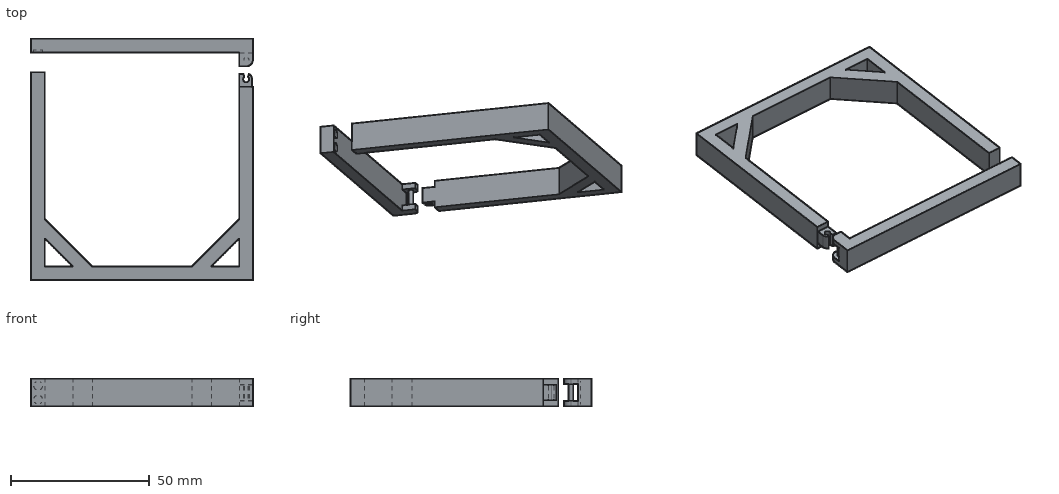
import cadquery as cq
import math

width = 80.0
depth = 87.0
height = 10.0
bar = height / 2

latch_leg_length = 75.0
hinge_leg_length = 69.6
window_leg = 10.0
brace_leg = window_leg + bar * math.sqrt(2)

clip_height = 5.5
clip_length = 4.7
clip_socket_offset = 2.8
clip_outer_radius = 2.2
socket_radius = 1.05
throat_half_width = 0.6
mouth_half_width = 1.0

fork_length = 10.0
fork_plate = 2.0
pin_diameter = 1.8
latch_hole_diameter = 3.2
latch_hole_depth = 1.0

left = -width / 2
right = width / 2
inner_right = right - bar
fork_corner_radius = bar / 2
hinge_x = right - bar / 2
gate_y = depth - bar
fork_end_y = depth - fork_length
pin_y = fork_end_y + fork_corner_radius
socket_y = hinge_leg_length + clip_socket_offset


def box(x_min, x_max, y_min, y_max, z_min, z_max):
    size = (x_max - x_min, y_max - y_min, z_max - z_min)
    return cq.Workplane("XY").box(*size, centered=False).translate((x_min, y_min, z_min))


def corner_triangle(side, leg):
    """Right triangle in an inner lower corner; side is -1 for left, 1 for right."""
    corner_x = side * inner_right
    return (
        cq.Workplane("XY")
        .moveTo(corner_x, bar)
        .lineTo(corner_x - side * leg, bar)
        .lineTo(corner_x, bar + leg)
        .close()
        .extrude(height)
    )


def make_clip():
    """Hinge tongue with a round socket that opens through a narrow throat."""
    clip_end_y = hinge_leg_length + clip_length
    clip_z = (height - clip_height) / 2
    tip_rise = clip_end_y - socket_y
    tip_x = hinge_x + math.sqrt(clip_outer_radius**2 - tip_rise**2)
    arc_mid_angle = math.atan2(tip_rise, tip_x - hinge_x) / 2
    arc_mid = (
        hinge_x + clip_outer_radius * math.cos(arc_mid_angle),
        socket_y + clip_outer_radius * math.sin(arc_mid_angle),
    )
    throat_y = socket_y + math.sqrt(socket_radius**2 - throat_half_width**2)
    return (
        cq.Workplane("XY", origin=(0, 0, clip_z))
        .moveTo(inner_right, hinge_leg_length)
        .lineTo(hinge_x + clip_outer_radius, hinge_leg_length)
        .lineTo(hinge_x + clip_outer_radius, socket_y)
        .threePointArc(arc_mid, (tip_x, clip_end_y))
        .lineTo(hinge_x + mouth_half_width, clip_end_y)
        .lineTo(hinge_x + throat_half_width, throat_y)
        .threePointArc((hinge_x, socket_y - socket_radius), (hinge_x - throat_half_width, throat_y))
        .lineTo(hinge_x - mouth_half_width, clip_end_y)
        .lineTo(inner_right, clip_end_y)
        .close()
        .extrude(clip_height)
    )


def make_frame():
    frame = box(left, right, 0, bar, 0, height)
    frame = frame.union(box(left, left + bar, 0, latch_leg_length, 0, height))
    frame = frame.union(box(inner_right, right, 0, hinge_leg_length, 0, height))
    for side in (-1, 1):
        brace = corner_triangle(side, brace_leg).cut(corner_triangle(side, window_leg))
        frame = frame.union(brace)
    return frame.union(make_clip())


def make_fork_plate():
    """One fork plate, with its outer end corner rounded about the pin axis."""
    arc_mid_offset = fork_corner_radius * math.sqrt(0.5)
    return (
        cq.Workplane("XY")
        .moveTo(inner_right, gate_y)
        .lineTo(inner_right, fork_end_y)
        .lineTo(hinge_x, fork_end_y)
        .threePointArc((hinge_x + arc_mid_offset, pin_y - arc_mid_offset), (right, pin_y))
        .lineTo(right, gate_y)
        .close()
        .extrude(fork_plate)
    )


def make_latch_hole(z):
    """Blind round recess in the inner face of the gate's free end."""
    return cq.Workplane(
        cq.Solid.makeCylinder(
            latch_hole_diameter / 2,
            latch_hole_depth,
            cq.Vector(left + bar / 2, gate_y, z),
            cq.Vector(0, 1, 0),
        )
    )


def make_gate():
    gate = box(left, right, gate_y, depth, 0, height)
    for plate_z in (0, height - fork_plate):
        gate = gate.union(make_fork_plate().translate((0, 0, plate_z)))
    pin = (
        cq.Workplane("XY", origin=(hinge_x, pin_y, fork_plate))
        .circle(pin_diameter / 2)
        .extrude(height - 2 * fork_plate)
    )
    gate = gate.union(pin)
    for hole_z in (height / 4, height * 3 / 4):
        gate = gate.cut(make_latch_hole(hole_z))
    return gate


frame = make_frame()
gate = make_gate()
result = cq.Compound.makeCompound([frame.val(), gate.val()])